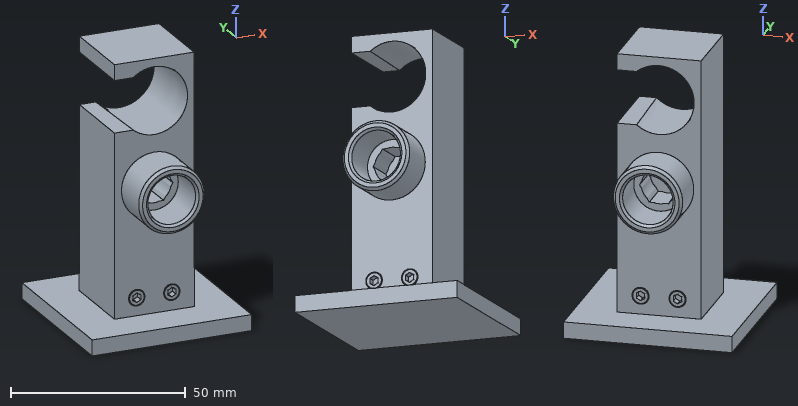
import cadquery as cq
import math

plate_side = 50.0
plate_thickness = 5.0
total_height = 83.0
post_side = plate_side / 2
post_front = -post_side / 2

cradle_height = 70.05
cradle_front_diameter = 20.75
cradle_back_diameter = 21.75
cradle_mouth = 16.0

nipple_height = 44.0
nipple_diameter = 20.6
nipple_projection = 13.0
nipple_seat_depth = 10.0
nipple_bore_diameter = 14.9
nipple_outer_chamfer = 0.8
nipple_bore_chamfer = 0.75
nipple_hex_flats = 10.0
nipple_pilot_diameter = 10.45

screw_height = 10.45
screw_spacing = 10.95
screw_diameter = 5.0
screw_chamfer = 0.21
screw_hex_flats = 2.5
screw_hex_depth = 2.5
screw_hex_turn = 30


def front_plane(height, front, x=0.0):
    """Sketch plane at Y = front whose normal points along +Y."""
    return cq.Plane(origin=(x, front, height), xDir=(1, 0, 0), normal=(0, 1, 0))


def front_cylinder(height, diameter, front, depth, x=0.0):
    """Cylinder along +Y that starts at Y = front."""
    return cq.Workplane(front_plane(height, front, x)).circle(diameter / 2).extrude(depth)


def front_hexagon(height, flats, front, depth, x=0.0, turn=0):
    """Hexagonal prism along +Y; two corners point along X unless turned by an angle in degrees."""
    corner_diameter = flats / math.cos(math.pi / 6)
    prism = cq.Workplane(front_plane(height, front, x)).polygon(6, corner_diameter).extrude(depth)
    return prism.rotate((x, front, height), (x, front + 0.8, height), turn)


def cut_cradle(body):
    """Conical cross hole that widens towards +Y, with a parallel mouth open towards -X."""
    hole = (
        cq.Workplane(front_plane(cradle_height, post_front))
        .circle(cradle_front_diameter / 2)
        .workplane(offset=post_side)
        .circle(cradle_back_diameter / 2)
        .loft(ruled=True)
    )
    mouth = (
        cq.Workplane("XY")
        .box(post_side / 2, post_side, cradle_mouth)
        .translate((-post_side / 4, 0, cradle_height))
    )
    return body.cut(hole).cut(mouth)


def cut_set_screw(body, x):
    """Chamfer groove around a flush screw end, with a hexagonal socket."""
    rim = front_cylinder(screw_height, screw_diameter, post_front, screw_chamfer, x)
    end = (
        cq.Workplane(front_plane(screw_height, post_front, x))
        .circle(screw_diameter / 2 - screw_chamfer)
        .extrude(screw_chamfer, taper=-45)
    )
    socket = front_hexagon(screw_height, screw_hex_flats, post_front, screw_hex_depth, x, screw_hex_turn)
    return body.cut(rim.cut(end)).cut(socket)


def make_bracket():
    """Plate and post in one piece, with the cradle, the screw ends and the seat for the nipple."""
    plate = cq.Workplane("XY").box(plate_side, plate_side, plate_thickness, centered=(True, True, False))
    post = cq.Workplane("XY").box(post_side, post_side, total_height, centered=(True, True, False))
    bracket = cut_cradle(plate.union(post))
    for side in (-1, 1):
        bracket = cut_set_screw(bracket, side * screw_spacing / 2)
    seat = front_cylinder(nipple_height, nipple_diameter, post_front, nipple_seat_depth)
    return bracket.cut(seat)


def make_nipple():
    """Bored nipple, closed by a floor with a hexagonal socket broached over a slightly wider pilot hole."""
    tip = post_front - nipple_projection
    length = nipple_projection + nipple_seat_depth
    body = front_cylinder(nipple_height, nipple_diameter, tip, length)
    body = body.faces("<Y").chamfer(nipple_outer_chamfer)
    body = body.cut(front_cylinder(nipple_height, nipple_bore_diameter, tip, nipple_projection))
    body = body.faces("<Y").edges(cq.selectors.RadiusNthSelector(0)).chamfer(nipple_bore_chamfer)
    socket = front_hexagon(nipple_height, nipple_hex_flats, post_front, nipple_seat_depth)
    pilot = front_cylinder(nipple_height, nipple_pilot_diameter, post_front, nipple_seat_depth)
    return body.cut(socket).cut(pilot)


bracket = make_bracket()
nipple = make_nipple()
result = cq.Compound.makeCompound([bracket.val(), nipple.val()])